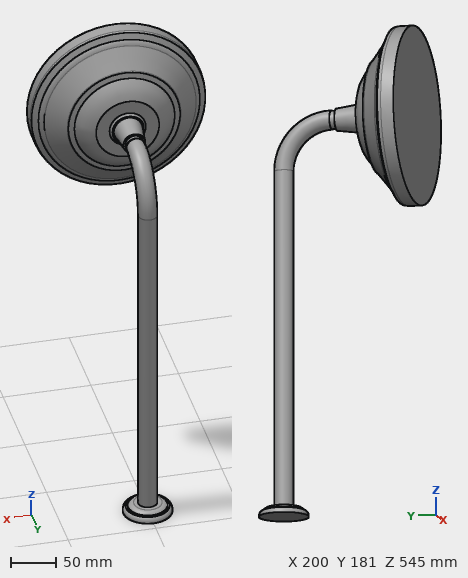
import cadquery as cq
import math

TOTAL_HEIGHT = 545.0
PIPE_RADIUS = 11.0
BEND_RADIUS = 55.0

FLANGE_RADIUS = 28.0
FLANGE_HEIGHT = 11.0
FLANGE_EDGE = 1.0
FLANGE_LOWER_HEIGHT = 6.5
FLANGE_STEP_HEIGHT = 7.5
FLANGE_LOWER_TOP_RADIUS = 24.5
FLANGE_UPPER_RADIUS = 22.5
FLANGE_TOP_RADIUS = 16.0
FLANGE_BULGE = 0.8

SHADE_DIAMETER = 200.0
SHADE_RADIUS = SHADE_DIAMETER / 2
FRONT_Y = -153.0
SHADE_DEPTH = 61.0
RIM_WIDTH = 14.5
RIM_BACK = 18.5
RIM_BACK_RADIUS = 99.0
BEAD_FRONT = 22.0
BEAD_FRONT_RADIUS = 92.0
BEAD_BACK = 25.5
BEAD_BACK_RADIUS = 86.5
CONE_BACK = 43.5
CONE_BACK_RADIUS = 65.0
STEP_BACK = 45.0
STEP_RADIUS = 64.0
DOME_FRONT = 47.0
DOME_FRONT_RADIUS = 57.0
DOME_BACK_RADIUS = 36.0
BEAD_BULGE = 0.5
DOME_BULGE = 2.0

NECK_LENGTH = 6.0
NECK_RADIUS = 10.5
SOCKET_BACK_RADIUS = 12.5
SOCKET_FRONT_RADIUS = 16.5
FLARE_LENGTH = 2.5
FLARE_BACK_RADIUS = 18.0
FLARE_RADIUS = 20.5

AXIS_Z = TOTAL_HEIGHT - SHADE_RADIUS
BEND_START_Z = AXIS_Z - BEND_RADIUS
SHADE_BACK_Y = FRONT_Y + SHADE_DEPTH


def bulged_point(start, end, bulge):
    """Point to the right of the middle of start-end, at distance bulge."""
    dx = end[0] - start[0]
    dy = end[1] - start[1]
    length = math.hypot(dx, dy)
    middle_x = (start[0] + end[0]) / 2
    middle_y = (start[1] + end[1]) / 2
    return (middle_x + bulge * dy / length, middle_y - bulge * dx / length)


def turn_about_shade_axis(profile):
    """Revolve a (radius, Y) outline about the horizontal shade axis."""
    turned = profile.close().revolve(360, (0, 0, 0), (0, 1, 0))
    return turned.translate((0, 0, AXIS_Z))


def make_flange():
    lower_edge = (FLANGE_RADIUS, FLANGE_EDGE)
    lower_top = (FLANGE_LOWER_TOP_RADIUS, FLANGE_LOWER_HEIGHT)
    upper_edge = (FLANGE_UPPER_RADIUS, FLANGE_STEP_HEIGHT)
    upper_top = (FLANGE_TOP_RADIUS, FLANGE_HEIGHT)
    return (
        cq.Workplane("XZ")
        .lineTo(FLANGE_RADIUS, 0)
        .lineTo(*lower_edge)
        .threePointArc(bulged_point(lower_edge, lower_top, FLANGE_BULGE), lower_top)
        .lineTo(FLANGE_UPPER_RADIUS, FLANGE_LOWER_HEIGHT)
        .lineTo(*upper_edge)
        .threePointArc(bulged_point(upper_edge, upper_top, FLANGE_BULGE), upper_top)
        .lineTo(0, FLANGE_HEIGHT)
        .close()
        .revolve(360, (0, 0, 0), (0, 1, 0))
    )


def make_pipe():
    bend_middle_y = -BEND_RADIUS * (1 - math.cos(math.pi / 4))
    bend_middle_z = BEND_START_Z + BEND_RADIUS * math.sin(math.pi / 4)
    path = (
        cq.Workplane("YZ")
        .moveTo(0, FLANGE_HEIGHT)
        .lineTo(0, BEND_START_Z)
        .threePointArc((bend_middle_y, bend_middle_z), (-BEND_RADIUS, AXIS_Z))
    )
    return cq.Workplane("XY", origin=(0, 0, FLANGE_HEIGHT)).circle(PIPE_RADIUS).sweep(path)


def make_connector():
    back_y = -BEND_RADIUS
    socket_y = back_y - NECK_LENGTH
    flare_y = SHADE_BACK_Y + FLARE_LENGTH
    profile = (
        cq.Workplane("XY")
        .moveTo(0, back_y)
        .lineTo(NECK_RADIUS, back_y)
        .lineTo(NECK_RADIUS, socket_y)
        .lineTo(SOCKET_BACK_RADIUS, socket_y)
        .lineTo(SOCKET_FRONT_RADIUS, flare_y)
        .lineTo(FLARE_BACK_RADIUS, flare_y)
        .lineTo(FLARE_RADIUS, SHADE_BACK_Y)
        .lineTo(0, SHADE_BACK_Y)
    )
    return turn_about_shade_axis(profile)


def make_shade():
    bead_front = (BEAD_FRONT_RADIUS, FRONT_Y + BEAD_FRONT)
    bead_back = (BEAD_BACK_RADIUS, FRONT_Y + BEAD_BACK)
    dome_front = (DOME_FRONT_RADIUS, FRONT_Y + DOME_FRONT)
    dome_back = (DOME_BACK_RADIUS, SHADE_BACK_Y)
    profile = (
        cq.Workplane("XY")
        .moveTo(0, FRONT_Y)
        .lineTo(SHADE_RADIUS, FRONT_Y)
        .lineTo(SHADE_RADIUS, FRONT_Y + RIM_WIDTH)
        .lineTo(RIM_BACK_RADIUS, FRONT_Y + RIM_BACK)
        .lineTo(*bead_front)
        .threePointArc(bulged_point(bead_front, bead_back, BEAD_BULGE), bead_back)
        .lineTo(CONE_BACK_RADIUS, FRONT_Y + CONE_BACK)
        .lineTo(STEP_RADIUS, FRONT_Y + STEP_BACK)
        .lineTo(*dome_front)
        .threePointArc(bulged_point(dome_front, dome_back, DOME_BULGE), dome_back)
        .lineTo(0, SHADE_BACK_Y)
    )
    return turn_about_shade_axis(profile)


flange = make_flange()
pipe = make_pipe()
connector = make_connector()
shade = make_shade()

result = cq.Compound.makeCompound([flange.val(), pipe.val(), connector.val(), shade.val()])